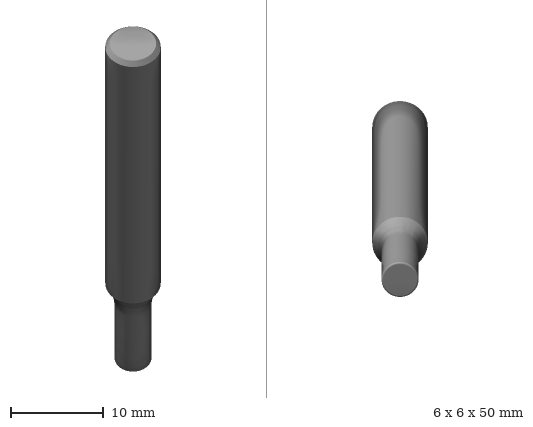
import cadquery as cq
import math

total_length = 50.0
shank_diameter = 6.0
shank_chamfer = 0.5

neck_diameter = 4.05
neck_length = 4.0
flare_length = 3.0

tip_end_diameter = 4.0
tip_length = 5.0
tip_corner_radius = 0.2

shank_radius = shank_diameter / 2
neck_radius = neck_diameter / 2
neck_top = tip_length + neck_length

flare_step = shank_radius - neck_radius
flare_radius = (flare_length**2 + flare_step**2) / (2 * flare_step)
flare_angle = math.asin(flare_length / flare_radius)


def flare_point(angle):
    """Point (radius, height) on the concave flare, at an angle from its start at the neck."""
    radius = neck_radius + flare_radius * (1 - math.cos(angle))
    height = neck_top + flare_radius * math.sin(angle)
    return radius, height


def make_shank():
    """Chamfered shank with flare and neck, revolved about Z."""
    return (
        cq.Workplane("XZ")
        .moveTo(0, tip_length)
        .lineTo(neck_radius, tip_length)
        .lineTo(neck_radius, neck_top)
        .threePointArc(flare_point(flare_angle / 2), flare_point(flare_angle))
        .lineTo(shank_radius, total_length)
        .lineTo(0, total_length)
        .close()
        .revolve(360, (0, 0), (0, 1))
        .faces(">Z")
        .chamfer(shank_chamfer)
    )


def make_tip():
    """Slightly conical tip with a rounded lower corner, revolved about Z."""
    return (
        cq.Workplane("XZ")
        .lineTo(tip_end_diameter / 2, 0)
        .lineTo(neck_radius, tip_length)
        .lineTo(0, tip_length)
        .close()
        .revolve(360, (0, 0), (0, 1))
        .faces("<Z")
        .edges()
        .fillet(tip_corner_radius)
    )


shank = make_shank()
tip = make_tip()
result = cq.Compound.makeCompound([shank.val(), tip.val()])